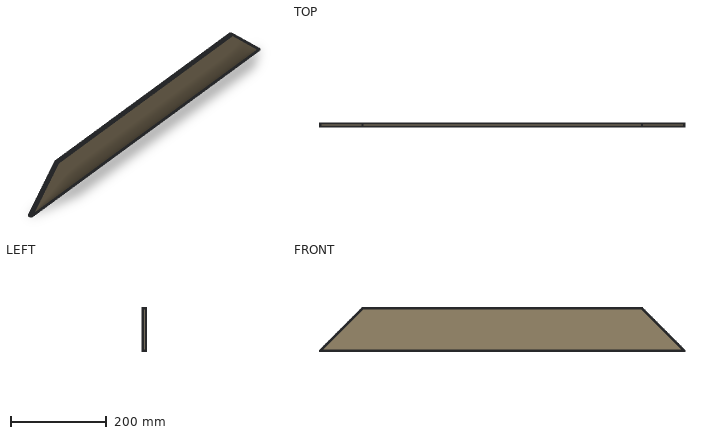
import cadquery as cq

length = 760.0
height = 89.0
thickness = 6.4
end_setback = height

half_length = length / 2
half_top = half_length - end_setback

result = (
    cq.Workplane("XZ")
    .moveTo(-half_length, 0)
    .lineTo(half_length, 0)
    .lineTo(half_top, height)
    .lineTo(-half_top, height)
    .close()
    .extrude(thickness / 2, both=True)
)